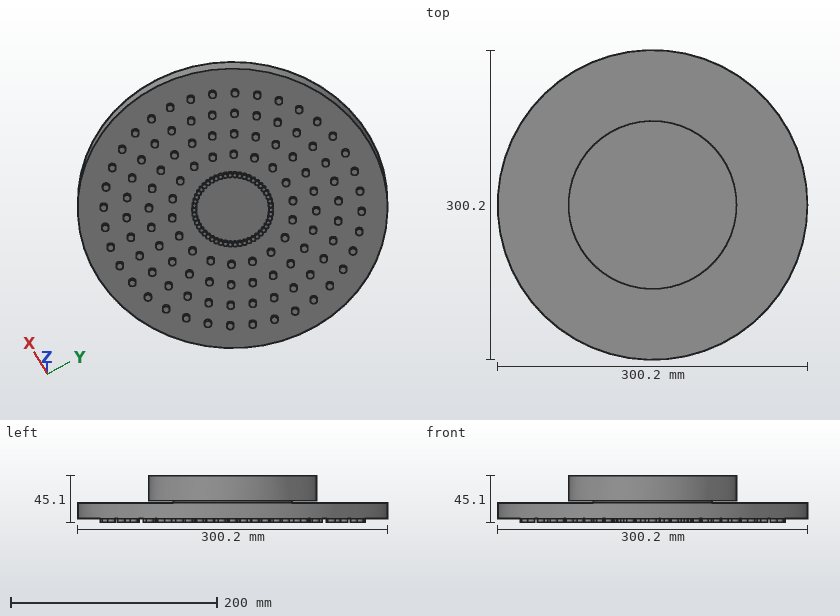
import cadquery as cq

plate_diameter = 300.2
plate_thickness = 15.3

spacer_diameter = 115.3
spacer_thickness = 1.8

cap_diameter = 162.7
cap_thickness = 24.5

stud_height = 3.5
outer_ring_radius = 125.0
ring_pitch = 22.0

large_stud_diameter = 7.0
large_ring_count = 4
outer_ring_studs = 36
studs_fewer_per_ring = 6

small_stud_diameter = 4.5
small_stud_count = 50
small_ring_radius = outer_ring_radius - large_ring_count * ring_pitch

spacer_base_z = plate_thickness
cap_base_z = spacer_base_z + spacer_thickness


def make_disc(diameter, thickness, base_z):
    """Solid disc centred on the Z axis."""
    return cq.Workplane("XY").workplane(offset=base_z).circle(diameter / 2).extrude(thickness)


def half_spacing(count):
    """Angle of half the spacing between neighbouring studs in a ring."""
    return 360 / count / 2


def make_stud_ring(radius, count, start_angle, stud_diameter):
    """One ring of evenly spaced studs, reaching down from the plate underside."""
    return (
        cq.Workplane("XY")
        .polarArray(radius, start_angle, 360, count)
        .circle(stud_diameter / 2)
        .extrude(-stud_height)
    )


def make_studded_plate():
    """Plate with its studs; the 2nd and 4th large rings and the small ring are turned by half a spacing."""
    body = make_disc(plate_diameter, plate_thickness, 0)
    for ring in range(large_ring_count):
        radius = outer_ring_radius - ring * ring_pitch
        count = outer_ring_studs - ring * studs_fewer_per_ring
        start_angle = half_spacing(count) if ring % 2 else 0
        body = body.union(make_stud_ring(radius, count, start_angle, large_stud_diameter))
    small_start_angle = half_spacing(small_stud_count)
    small_ring = make_stud_ring(small_ring_radius, small_stud_count, small_start_angle, small_stud_diameter)
    return body.union(small_ring)


plate = make_studded_plate()
spacer = make_disc(spacer_diameter, spacer_thickness, spacer_base_z)
cap = make_disc(cap_diameter, cap_thickness, cap_base_z)

result = cq.Compound.makeCompound([*plate.solids().vals(), spacer.val(), cap.val()])